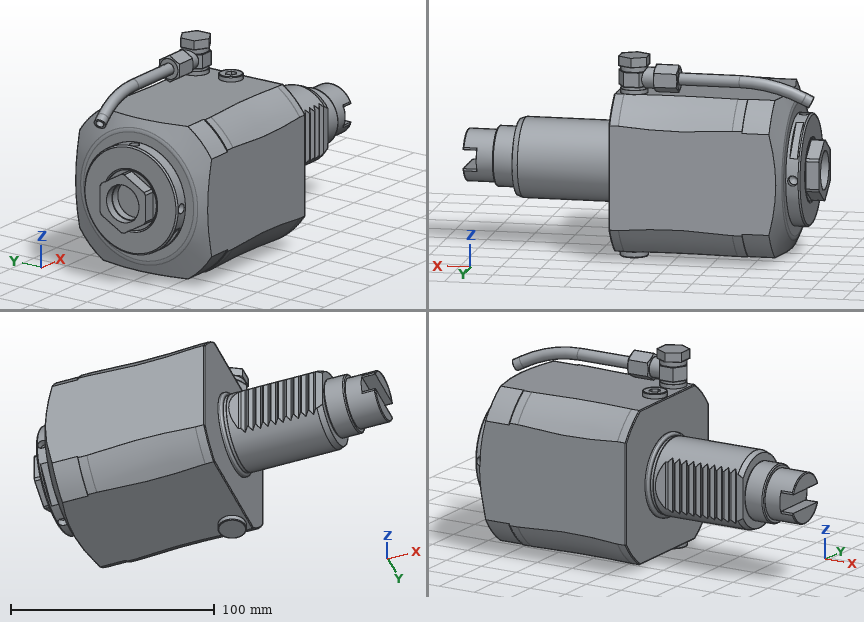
import cadquery as cq
import math


block_width = 79.0
block_half = block_width / 2
block_front_x = -86.4
cone_front_radius = 34.05
cone_back_x = -80.4
cone_edge_fillet = 5.0
nose_corner_radius = 46.9
band_corner_radius = 47.4
waist_corner_radius = 46.6
band_start_x = -66.9
waist_start_x = -62.0
waist_end_x = -4.9
block_back_chamfer = 0.5

collar_front_x = -93.4
collar_diameter = 56.0
collar_chamfer = 0.8
collar_center_x = (collar_front_x + block_front_x) / 2
spanner_hole_diameter = 5.0
spanner_hole_depth = 3.5
spanner_hole_tip_angle = 118.0
spanner_hole_count = 4
wrench_flat_distance = 25.9
wrench_flat_width = 3.8
wrench_flat_angles = (45.0, 225.0)

shank_diameter = 40.0
shank_radius = shank_diameter / 2
shank_end_x = 52.9
shank_end_chamfer_length = 2.9
shank_end_chamfer_depth = 1.0
shank_flange_diameter = 43.0
shank_flange_length = 2.1
shank_flange_fillet = 1.2
undercut_diameter = 39.4
undercut_end_x = 3.7

tooth_tip_distance = 16.0
tooth_depth = 1.7
tooth_pitch = 4.0
tooth_count = 10
first_groove_x = 11.55
rack_start_x = 8.6
rack_runout_angle = 48.5

spindle_front_x = -100.0
nose_hex_flats = 27.0
nose_corner_diameter = 30.3
nose_mouth_diameter = 19.4
nose_mouth_depth = 4.6
nose_bore_diameter = 18.8
nose_bore_depth = 9.2
spindle_diameter = 31.0
spindle_step_x = -20.0
shaft_diameter = 20.0
drive_ring_diameter = 30.0
drive_ring_end_x = 63.7
drive_ring_chamfer = 0.6
tang_diameter = 26.0
tang_end_x = 79.0
tang_chamfer = 0.5
tang_slot_start_x = 72.1
tang_slot_width = 9.5
tang_flats_width = 23.2
bore_mouth_chamfer = 0.8

fitting_x = -8.75
fitting_y = 20.1
fitting_diameter = 13.5
bolt_head_flats = 14.0
bolt_head_top_z = 58.0
bolt_head_bottom_z = 53.2
banjo_flats = 13.5
banjo_top_z = 50.7
banjo_bottom_z = 43.0
banjo_chamfer = 0.3
washer_top_z = 41.6
washer_groove_diameter = 13.0
pipe_z = 47.05
outlet_diameter = 10.4
nut_flats = 12.0
nut_start_x = -31.6
nut_end_x = -19.4
nut_corner_diameter = 13.86
nut_chamfer_length = 0.6
nut_chamfer_depth = 1.6

pipe_diameter = 6.0
pipe_bore_diameter = 4.0
pipe_bend_x = -62.0
pipe_bend_radius = 61.0
pipe_bend_angle = 30.5
pipe_tip_length = 4.2
pipe_tilt_angle = 22.5

top_plug_x = -7.25
top_plug_diameter = 12.2
top_plug_height = 2.6
top_plug_socket_flats = 5.0
top_plug_socket_depth = 2.0
bottom_plug_diameter = 14.0
bottom_plug_height = 2.9
plug_chamfer = 0.4


def rod(start_x, end_x, diameter):
    """Cylinder on the X axis."""
    return cq.Workplane("YZ", origin=(start_x, 0, 0)).circle(diameter / 2).extrude(end_x - start_x)


def hex_prism(plane, origin, across_flats, length, turn=0.0):
    """Hexagonal prism; with no turn, two of its corners lie on the plane's local x direction."""
    across_corners = across_flats / math.cos(math.pi / 6)
    outline = cq.Workplane(plane, origin=origin).transformed(rotate=(0, 0, turn))
    return outline.polygon(6, across_corners).extrude(length)


def make_block():
    """Square block with a coned front and four turned corners that are waisted between bands."""
    waist_mid_x = (waist_start_x + waist_end_x) / 2
    turned = (
        cq.Workplane("XY")
        .moveTo(block_front_x, 0)
        .lineTo(block_front_x, cone_front_radius)
        .lineTo(cone_back_x, nose_corner_radius)
        .lineTo(band_start_x, nose_corner_radius)
        .lineTo(band_start_x, band_corner_radius)
        .lineTo(waist_start_x, band_corner_radius)
        .threePointArc((waist_mid_x, waist_corner_radius), (waist_end_x, band_corner_radius))
        .lineTo(0, band_corner_radius)
        .lineTo(0, 0)
        .close()
        .revolve(360, (0, 0, 0), (1, 0, 0))
        .faces("<X")
        .edges()
        .fillet(cone_edge_fillet)
    )
    square = (
        cq.Workplane("YZ")
        .rect(block_width, block_width)
        .extrude(block_front_x)
    )
    return turned.intersect(square).faces(">X").edges().chamfer(block_back_chamfer)


def make_collar():
    """Bearing collar with radial spanner holes and two sunk wrench flats."""
    collar = rod(collar_front_x, block_front_x, collar_diameter)
    collar = collar.faces("<X").edges().chamfer(collar_chamfer)
    hole = make_spanner_hole()
    for index in range(spanner_hole_count):
        collar = collar.cut(hole.rotate((0, 0, 0), (1, 0, 0), index * 360 / spanner_hole_count))
    for angle in wrench_flat_angles:
        flat = (
            cq.Workplane("XY", origin=(collar_center_x, 0, wrench_flat_distance))
            .rect(wrench_flat_width, collar_diameter)
            .extrude(collar_diameter)
        )
        collar = collar.cut(flat.rotate((0, 0, 0), (1, 0, 0), -angle))
    return collar


def make_spanner_hole():
    """Drilled hole with a conical bottom, entering the collar along -Z."""
    radius = spanner_hole_diameter / 2
    tip_length = radius / math.tan(math.radians(spanner_hole_tip_angle / 2))
    rim_z = collar_diameter / 2
    wall_end_z = rim_z - spanner_hole_depth
    half_section = [
        (0, wall_end_z - tip_length),
        (radius, wall_end_z),
        (radius, rim_z),
        (0, rim_z),
    ]
    hole = cq.Workplane("XZ").polyline(half_section).close().revolve(360, (0, 0, 0), (0, 1, 0))
    return hole.translate((collar_center_x, 0, 0))


def make_shank():
    """Round shank with a flange, an undercut and a toothed clamping flat."""
    flange = rod(0, shank_flange_length, shank_flange_diameter)
    flange = flange.faces(">X").edges().fillet(shank_flange_fillet)
    undercut = rod(0, undercut_end_x, undercut_diameter)
    cylinder = rod(undercut_end_x, shank_end_x, shank_diameter)
    cylinder = cylinder.faces(">X").edges().chamfer(shank_end_chamfer_length, shank_end_chamfer_depth)
    return flange.union(undercut).union(cylinder).cut(make_rack_cutter())


def make_rack_cutter():
    """Material removed for the clamping flat, its sloped run-out and the 90 degree tooth grooves."""
    outer_y = shank_flange_diameter / 2
    runout_length = (outer_y - tooth_tip_distance) / math.tan(math.radians(rack_runout_angle))
    flat = [
        (rack_start_x, -tooth_tip_distance),
        (rack_start_x - runout_length, -outer_y),
        (shank_end_x, -outer_y),
        (shank_end_x, -tooth_tip_distance),
    ]
    cutter = cq.Workplane("XY").polyline(flat).close().extrude(shank_radius, both=True)
    for index in range(tooth_count):
        root_x = first_groove_x + index * tooth_pitch
        groove = [
            (root_x - tooth_depth, -tooth_tip_distance),
            (root_x, -tooth_tip_distance + tooth_depth),
            (root_x + tooth_depth, -tooth_tip_distance),
        ]
        cutter = cutter.union(cq.Workplane("XY").polyline(groove).close().extrude(shank_radius, both=True))
    return cutter


def make_fitting():
    """Banjo bolt, hexagonal banjo, washer, outlet stub and union nut."""
    def post(bottom_z, top_z, diameter):
        base = cq.Workplane("XY", origin=(fitting_x, fitting_y, bottom_z))
        return base.circle(diameter / 2).extrude(top_z - bottom_z)

    washer = post(block_half, washer_top_z, fitting_diameter)
    washer_groove = post(washer_top_z, banjo_bottom_z, washer_groove_diameter)
    bolt_neck = post(banjo_top_z, bolt_head_bottom_z, fitting_diameter)
    banjo = hex_prism(
        "XY", (fitting_x, fitting_y, banjo_bottom_z), banjo_flats, banjo_top_z - banjo_bottom_z
    ).faces("<Z or >Z").edges().chamfer(banjo_chamfer)
    bolt_head = hex_prism(
        "XY",
        (fitting_x, fitting_y, bolt_head_bottom_z),
        bolt_head_flats,
        bolt_head_top_z - bolt_head_bottom_z,
        turn=90,
    )
    outlet = (
        cq.Workplane("YZ", origin=(nut_end_x, fitting_y, pipe_z))
        .circle(outlet_diameter / 2)
        .extrude(fitting_x - nut_end_x)
    )
    nut_origin = (nut_start_x, fitting_y, pipe_z)
    nut_length = nut_end_x - nut_start_x
    nut_round = (
        cq.Workplane("YZ", origin=nut_origin)
        .circle(nut_corner_diameter / 2)
        .extrude(nut_length)
        .faces("<X or >X")
        .edges()
        .chamfer(nut_chamfer_length, nut_chamfer_depth)
    )
    nut = hex_prism("YZ", nut_origin, nut_flats, nut_length, turn=90).intersect(nut_round)
    fitting = washer
    for piece in (washer_groove, banjo, bolt_neck, bolt_head, outlet, nut):
        fitting = fitting.union(piece)
    return fitting


def make_pipe():
    """Coolant pipe that leaves the nut along -X and bends down, tilted toward the spindle axis."""
    bend = math.radians(pipe_bend_angle)
    half_bend = bend / 2
    run = nut_start_x - pipe_bend_x

    def bend_point(angle):
        return (-run - pipe_bend_radius * math.sin(angle), -pipe_bend_radius * (1 - math.cos(angle)))

    bend_end = bend_point(bend)
    tip = (
        bend_end[0] - pipe_tip_length * math.cos(bend),
        bend_end[1] - pipe_tip_length * math.sin(bend),
    )
    centerline = (
        cq.Workplane("XZ")
        .moveTo(0, 0)
        .lineTo(-run, 0)
        .threePointArc(bend_point(half_bend), bend_end)
        .lineTo(*tip)
    )
    pipe = cq.Workplane("YZ").circle(pipe_diameter / 2).sweep(centerline)
    inward = (math.cos(bend), 0, math.sin(bend))
    tip_plane = cq.Plane(origin=(tip[0], 0, tip[1]), normal=inward)
    tip_bore = cq.Workplane(tip_plane).circle(pipe_bore_diameter / 2).extrude(pipe_tip_length)
    pipe = pipe.cut(tip_bore)
    tilted = pipe.rotate((0, 0, 0), (1, 0, 0), -pipe_tilt_angle)
    return tilted.translate((nut_start_x, fitting_y, pipe_z))


def make_top_plug():
    """Screw plug with a hexagon socket on the top face."""
    plug = (
        cq.Workplane("XY", origin=(top_plug_x, 0, block_half))
        .circle(top_plug_diameter / 2)
        .extrude(top_plug_height)
        .faces(">Z")
        .edges()
        .chamfer(plug_chamfer)
    )
    socket_z = block_half + top_plug_height - top_plug_socket_depth
    socket = hex_prism(
        "XY", (top_plug_x, 0, socket_z), top_plug_socket_flats, top_plug_socket_depth, turn=90
    )
    return plug.cut(socket)


def make_bottom_plug():
    """Plain screw plug on the bottom face, below the coolant fitting."""
    return (
        cq.Workplane("XY", origin=(fitting_x, fitting_y, -block_half))
        .circle(bottom_plug_diameter / 2)
        .extrude(-bottom_plug_height)
        .faces("<Z")
        .edges()
        .chamfer(plug_chamfer)
    )


def make_spindle_bore():
    """Stepped bore for the spindle, with a chamfered mouth at the collar face."""
    front_bore = rod(collar_front_x, spindle_step_x, spindle_diameter)
    shaft_bore = rod(spindle_step_x, shank_end_x, shaft_diameter)
    spindle_radius = spindle_diameter / 2
    mouth = (
        cq.Workplane("YZ", origin=(collar_front_x, 0, 0))
        .circle(spindle_radius + bore_mouth_chamfer)
        .workplane(offset=bore_mouth_chamfer)
        .circle(spindle_radius)
        .loft()
    )
    return front_bore.union(shaft_bore).union(mouth)


def make_housing():
    """Stationary body: block, collar, shank, plugs and the coolant line."""
    housing = make_block()
    attached = (make_collar, make_shank, make_top_plug, make_bottom_plug, make_fitting, make_pipe)
    for make_piece in attached:
        housing = housing.union(make_piece())
    return housing.cut(make_spindle_bore())


def make_spindle():
    """Rotating body: hexagonal nose, stepped shaft, drive ring and slotted tang."""
    nose_length = collar_front_x - spindle_front_x
    nose = hex_prism("YZ", (spindle_front_x, 0, 0), nose_hex_flats, nose_length, turn=90)
    nose = nose.intersect(rod(spindle_front_x, collar_front_x, nose_corner_diameter))
    front_shaft = rod(collar_front_x, spindle_step_x, spindle_diameter)
    shaft = rod(spindle_step_x, shank_end_x, shaft_diameter)
    ring = rod(shank_end_x, drive_ring_end_x, drive_ring_diameter)
    ring = ring.faces("<X or >X").edges().chamfer(drive_ring_chamfer)

    tang = rod(drive_ring_end_x, tang_end_x, tang_diameter)
    tang = tang.faces(">X").edges().chamfer(tang_chamfer)
    tang_slot_length = tang_end_x - tang_slot_start_x
    tang_plane = cq.Workplane("YZ", origin=(tang_slot_start_x, 0, 0))
    slot = tang_plane.rect(tang_diameter, tang_slot_width).extrude(tang_slot_length)
    flats = (
        tang_plane.rect(2 * tang_diameter, tang_diameter)
        .rect(tang_flats_width, tang_diameter)
        .extrude(tang_slot_length)
    )
    tang = tang.cut(slot).cut(flats)

    spindle = nose.union(front_shaft).union(shaft).union(ring).union(tang)
    spindle = spindle.cut(rod(spindle_front_x, spindle_front_x + nose_mouth_depth, nose_mouth_diameter))
    return spindle.cut(rod(spindle_front_x, spindle_front_x + nose_bore_depth, nose_bore_diameter))


housing = make_housing()
spindle = make_spindle()
result = cq.Compound.makeCompound([housing.solids().val(), spindle.solids().val()])